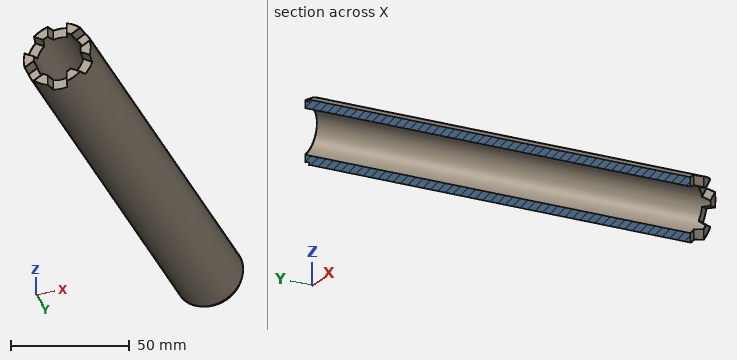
import cadquery as cq

length = 188.0
outer_diameter = 30.0
bore_diameter = 21.0

spigot_diameter = 28.0
spigot_length = 1.9

notch_count = 6
notch_depth = 4.0
notch_mouth_width = 8.5
notch_floor_width = 6.2

front_y = -length / 2
shoulder_y = length / 2 - spigot_length


def cylinder_along_y(diameter, start_y, height):
    """Cylinder on the Y axis, growing towards +Y from start_y."""
    plane = cq.Plane(origin=(0, start_y, 0), xDir=(1, 0, 0), normal=(0, 1, 0))
    return cq.Workplane(plane).circle(diameter / 2).extrude(height)


def notch(angle):
    """Trapezoidal cutter reaching from the axis past one side of the wall."""
    cutter = (
        cq.Workplane("XY")
        .moveTo(-notch_mouth_width / 2, front_y)
        .lineTo(notch_mouth_width / 2, front_y)
        .lineTo(notch_floor_width / 2, front_y + notch_depth)
        .lineTo(-notch_floor_width / 2, front_y + notch_depth)
        .close()
        .extrude(outer_diameter)
    )
    return cutter.rotate((0, 0, 0), (0, 1, 0), angle)


body = cylinder_along_y(outer_diameter, front_y, length - spigot_length)
spigot = cylinder_along_y(spigot_diameter, shoulder_y, spigot_length)
bore = cylinder_along_y(bore_diameter, front_y, length)
result = body.union(spigot).cut(bore)

for index in range(notch_count):
    result = result.cut(notch(index * 360 / notch_count))